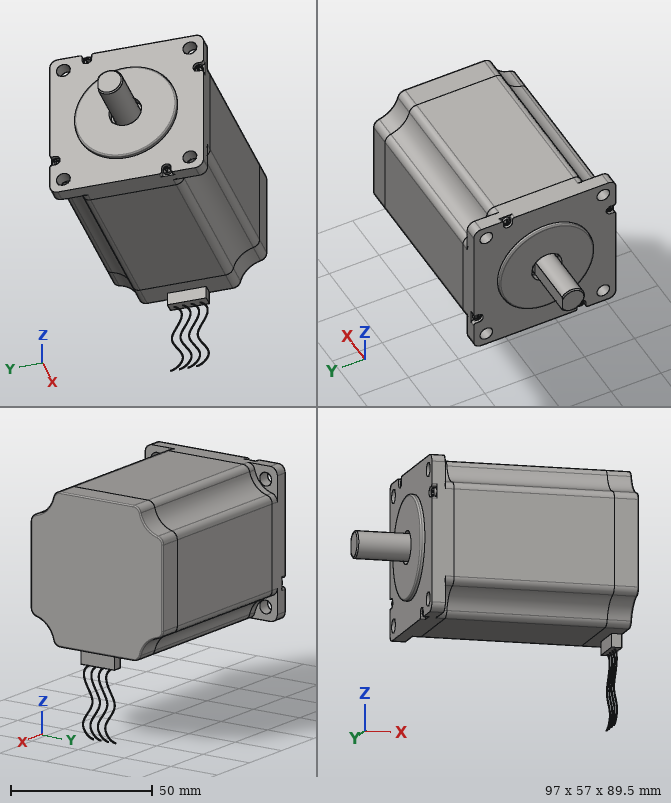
import cadquery as cq
import math


overall_length = 97.0
body_width = 57.0
half_width = body_width / 2
side_count = 4

flange_x = 21.0
flange_thickness = 4.9
flange_corner_radius = 3.0
stator_front_x = 29.1
stator_rear_x = 88.0
rear_edge_fillet = 0.5

corner_scoop_radius = 10.0
scoop_edge_radius = 3.0

mount_hole_diameter = 5.0
mount_hole_offset = 23.5

boss_height = 1.6
boss_x = flange_x - boss_height
boss_diameter = 38.0
boss_edge_fillet = 0.6

shaft_diameter = 10.0
shaft_chamfer = 0.5
shaft_flat_offset = 4.0
shaft_flat_length = flange_x
shaft_recess_diameter = 12.0
shaft_recess_depth = 2.9

screw_side_offset = 14.7
screw_axis_offset = 26.5
notch_radius = 1.7
notch_depth = 1.9
notch_mouth_radius = 0.9
screw_head_radius = 1.6
screw_rim_height = 1.0
screw_head_height = 1.7
cross_length = 2.4
cross_width = 0.6
cross_depth = 0.8

connector_length = 3.8
connector_width = 14.5
connector_height = 4.9
connector_x = overall_length - rear_edge_fillet - connector_length / 2
connector_bottom_z = -half_width - connector_height
lead_count = 4
lead_pitch = 3.2
first_lead_y = 5.2
lead_diameter = 0.4
lead_bends = [(2.8, 4.3), (1.0, 9.0), (-0.9, 13.6), (1.4, 18.4), (3.2, 22.9), (1.8, 25.6), (-1.3, 27.4)]


def cylinder_x(x_start, x_end, diameter):
    """Round bar on the motor axis."""
    return cq.Workplane("YZ", origin=(x_start, 0, 0)).circle(diameter / 2).extrude(x_end - x_start)


def block_section(x_start, x_end):
    """Length of the motor block: a square with a rounded concave scoop at every corner."""
    reach = corner_scoop_radius + scoop_edge_radius
    flat_end = math.sqrt(reach**2 - scoop_edge_radius**2)
    length = x_end - x_start
    section = cq.Workplane("YZ", origin=(x_start, 0, 0)).rect(body_width, body_width).extrude(length)
    blend = corner_scoop_radius / reach
    near = scoop_edge_radius * blend
    far = flat_end * blend
    scoop_middle = corner_scoop_radius / math.sqrt(2)
    half_turn = math.atan2(flat_end, scoop_edge_radius) / 2
    mid_along = flat_end - scoop_edge_radius * math.sin(half_turn)
    mid_in = scoop_edge_radius * (1 - math.cos(half_turn))
    corner_waste = (
        cq.Workplane("YZ", origin=(x_start, -half_width, -half_width))
        .moveTo(0, 0)
        .lineTo(flat_end, 0)
        .threePointArc((mid_along, mid_in), (far, near))
        .threePointArc((scoop_middle, scoop_middle), (near, far))
        .threePointArc((mid_in, mid_along), (0, flat_end))
        .close()
        .extrude(length)
    )
    for side in range(side_count):
        section = section.cut(corner_waste.rotate((0, 0, 0), (1, 0, 0), 360 / side_count * side))
    return section


def flange():
    """Square mounting flange with rounded corners and four mounting holes."""
    spacing = 2 * mount_hole_offset
    return (
        cq.Workplane("YZ", origin=(flange_x, 0, 0))
        .rect(body_width, body_width)
        .extrude(flange_thickness)
        .edges("|X")
        .fillet(flange_corner_radius)
        .faces("<X")
        .workplane(origin=(flange_x, 0, 0))
        .rect(spacing, spacing, forConstruction=True)
        .vertices()
        .hole(mount_hole_diameter)
    )


def screw_notch():
    """U-shaped notch with a flared mouth, open at the top edge of the flange."""
    left = screw_side_offset - notch_radius
    right = screw_side_offset + notch_radius
    mouth_z = half_width - notch_mouth_radius
    arc_inset = notch_mouth_radius * (1 - math.sqrt(0.5))
    return (
        cq.Workplane("YZ", origin=(flange_x, 0, 0))
        .moveTo(left - notch_mouth_radius, half_width)
        .threePointArc((left - arc_inset, half_width - arc_inset), (left, mouth_z))
        .lineTo(left, screw_axis_offset)
        .threePointArc((screw_side_offset, screw_axis_offset - notch_radius), (right, screw_axis_offset))
        .lineTo(right, mouth_z)
        .threePointArc((right + arc_inset, half_width - arc_inset), (right + notch_mouth_radius, half_width))
        .close()
        .extrude(notch_depth)
    )


def screw_head():
    """Domed head with a cross recess, standing on the notch floor."""
    floor_x = flange_x + notch_depth
    top_x = floor_x - screw_head_height
    dome_height = screw_head_height - screw_rim_height
    dome_radius = (screw_head_radius**2 + dome_height**2) / (2 * dome_height)
    center = (screw_side_offset, screw_axis_offset)
    head = (
        cq.Workplane("YZ", origin=(top_x, 0, 0))
        .center(*center)
        .circle(screw_head_radius)
        .extrude(screw_head_height)
    )
    dome = cq.Workplane("XY").sphere(dome_radius).translate((top_x + dome_radius, *center))
    arm = (
        cq.Workplane("YZ", origin=(top_x, 0, 0))
        .center(*center)
        .rect(cross_length, cross_width)
        .extrude(cross_depth)
    )
    crossing_arm = arm.rotate((0, *center), (1, *center), 90)
    return head.intersect(dome).cut(arm).cut(crossing_arm)


def make_front_cap():
    """Flange, pilot boss and cover screws, with the bore that carries the shaft."""
    boss = cylinder_x(boss_x, flange_x, boss_diameter).faces("<X").edges().fillet(boss_edge_fillet)
    cap = flange().union(block_section(flange_x + flange_thickness, stator_front_x)).union(boss)
    cap = cap.cut(cylinder_x(boss_x, boss_x + shaft_recess_depth, shaft_recess_diameter))
    cap = cap.cut(cylinder_x(boss_x, stator_front_x, shaft_diameter))
    notch = screw_notch()
    head = screw_head()
    for side in range(side_count):
        angle = 360 / side_count * side
        cap = cap.cut(notch.rotate((0, 0, 0), (1, 0, 0), angle))
        cap = cap.union(head.rotate((0, 0, 0), (1, 0, 0), angle))
    return cap


def make_stator():
    """Plain middle length of the motor block."""
    return block_section(stator_front_x, stator_rear_x)


def lead(root_y):
    """One wavy wire hanging from the connector."""
    path_points = [(root_y, connector_bottom_z)]
    path_points += [(root_y - shift, connector_bottom_z - drop) for shift, drop in lead_bends]
    path = cq.Workplane("YZ", origin=(connector_x, 0, 0)).spline(path_points)
    start = path.val().startPoint()
    profile_plane = cq.Plane(origin=start.toTuple(), xDir=(1, 0, 0), normal=path.val().tangentAt(0).toTuple())
    return cq.Workplane(profile_plane).circle(lead_diameter / 2).sweep(path)


def make_rear_cap():
    """End cap with a rounded rear edge, its connector block and the leads."""
    cap = block_section(stator_rear_x, overall_length).faces(">X").edges().fillet(rear_edge_fillet)
    connector = (
        cq.Workplane("XY", origin=(connector_x, 0, -half_width))
        .rect(connector_length, connector_width)
        .extrude(-connector_height)
    )
    cap = cap.union(connector)
    for index in range(lead_count):
        cap = cap.union(lead(first_lead_y - index * lead_pitch))
    return cap


def make_shaft():
    """Output shaft with a bevelled tip and a flat, ending at the stator."""
    shaft = cylinder_x(0, stator_front_x, shaft_diameter).faces("<X").chamfer(shaft_chamfer)
    flat_waste = (
        cq.Workplane("XY")
        .box(shaft_flat_length, shaft_diameter, shaft_diameter, centered=(False, False, True))
        .translate((0, shaft_flat_offset, 0))
    )
    return shaft.cut(flat_waste)


front_cap = make_front_cap()
stator = make_stator()
rear_cap = make_rear_cap()
shaft = make_shaft()

result = cq.Compound.makeCompound([front_cap.val(), stator.val(), rear_cap.val(), shaft.val()])